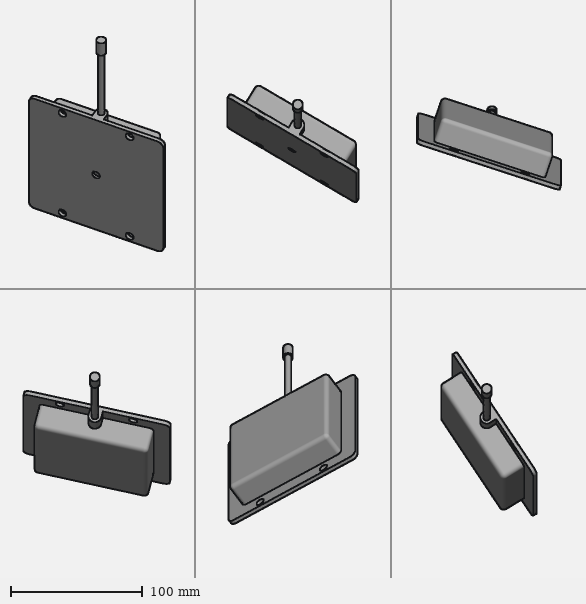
import cadquery as cq

total_height = 190.5
total_depth = 23.0

plate_side = 114.3
plate_thickness = 3.5
plate_corner_radius = 5.0
hole_diameter = 6.5
hole_spacing_x = 57.2
hole_spacing_z = 103.8
center_recess_depth = 2.5

box_side = 89.0
box_edge_radius = 3.5
box_depth = total_depth - plate_thickness

boss_width = 10.0
cable_axis_y = 8.8

cable_diameter = 5.1
ferrule_diameter = 7.6
ferrule_length = 12.8

plate_top = plate_side / 2
box_top = box_side / 2
cable_end = total_height - plate_top
ferrule_start = cable_end - ferrule_length


def cylinder_up(diameter, z_start, z_end):
    """Vertical cylinder on the cable axis."""
    return (
        cq.Workplane("XY", origin=(0, cable_axis_y, z_start))
        .circle(diameter / 2)
        .extrude(z_end - z_start)
    )


def make_plate():
    """Square plate with rounded corners and four mounting holes."""
    plate = (
        cq.Workplane("XZ")
        .rect(plate_side, plate_side)
        .extrude(-plate_thickness)
        .edges("|Y")
        .fillet(plate_corner_radius)
    )
    holes = (
        cq.Workplane("XZ")
        .rect(hole_spacing_x, hole_spacing_z, forConstruction=True)
        .vertices()
        .circle(hole_diameter / 2)
        .extrude(-plate_thickness)
    )
    return plate.cut(holes)


def make_box():
    """Square box with rounded side and rear edges."""
    return (
        cq.Workplane("XZ", origin=(0, plate_thickness, 0))
        .rect(box_side, box_side)
        .extrude(-box_depth)
        .edges("|Y or >Y")
        .fillet(box_edge_radius)
    )


def make_boss():
    """Round-backed boss standing on the plate above the box."""
    radius = boss_width / 2
    return (
        cq.Workplane("XY", origin=(0, 0, box_top))
        .moveTo(-radius, 0)
        .lineTo(radius, 0)
        .lineTo(radius, cable_axis_y)
        .threePointArc((0, cable_axis_y + radius), (-radius, cable_axis_y))
        .close()
        .extrude(plate_top - box_top)
    )


def make_housing():
    """Plate, box and boss in one piece, with a blind recess at the centre."""
    center_recess = cq.Workplane("XZ").circle(hole_diameter / 2).extrude(-center_recess_depth)
    return make_plate().union(make_box()).union(make_boss()).cut(center_recess)


def make_cable():
    """Cable standing on the boss, ending in a thicker ferrule."""
    cable = cylinder_up(cable_diameter, plate_top, ferrule_start)
    return cable.union(cylinder_up(ferrule_diameter, ferrule_start, cable_end))


housing = make_housing()
cable = make_cable()
result = cq.Compound.makeCompound([housing.val(), cable.val()])